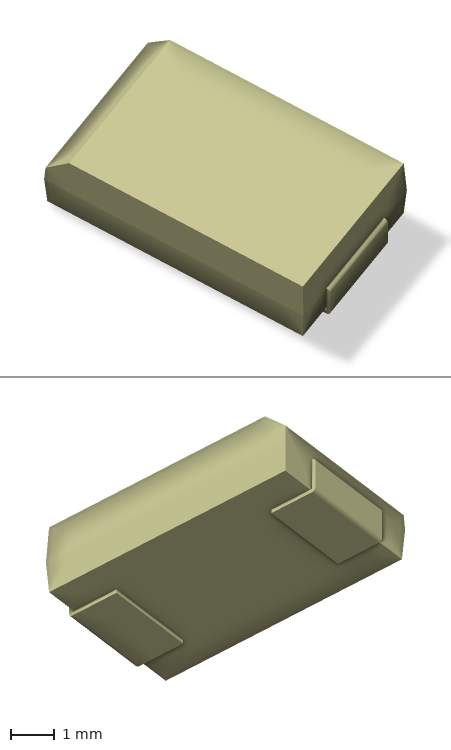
import cadquery as cq

overall_length = 7.3
body_width = 4.3
overall_height = 2.0

strip_thickness = 0.1
terminal_width = 2.4
left_foot_length = 1.31
right_foot_length = 1.41

parting_height = 0.96
taper_inset = 0.05
body_length = overall_length - 2 * strip_thickness
body_bottom = strip_thickness

bevel_run = 0.65
bevel_drop = 0.605


def tapered_half(end_height):
    """Half of the body, narrowing from the parting plane to its flat face."""
    return (
        cq.Workplane("XY")
        .workplane(offset=parting_height)
        .rect(body_length, body_width)
        .workplane(offset=end_height - parting_height)
        .rect(body_length - 2 * taper_inset, body_width - 2 * taper_inset)
        .loft(ruled=True)
    )


def bevel_cutter():
    """Wedge that removes the top corner of the -X end across the full width."""
    end_x = -body_length / 2
    bevel_height = overall_height - bevel_drop
    upper_half_height = overall_height - parting_height
    taper_at_bevel = taper_inset * (bevel_height - parting_height) / upper_half_height
    return (
        cq.Workplane("XZ")
        .moveTo(end_x + taper_at_bevel, bevel_height)
        .lineTo(end_x + bevel_run, overall_height)
        .lineTo(end_x, overall_height)
        .lineTo(end_x, bevel_height)
        .close()
        .extrude(body_width / 2, both=True)
    )


def make_body():
    lower_half = tapered_half(body_bottom)
    upper_half = tapered_half(overall_height).cut(bevel_cutter())
    return lower_half.union(upper_half)


def make_terminal(side, foot_length):
    """L-shaped strip with rounded outer corners; side is -1 for -X, +1 for +X."""
    outer_x = side * overall_length / 2
    inner_x = outer_x - side * strip_thickness
    foot_x = outer_x - side * foot_length
    radius = strip_thickness
    arc_offset = radius * (1 - 0.5**0.5)
    arc_x = outer_x - side * arc_offset
    return (
        cq.Workplane("XZ")
        .moveTo(foot_x, 0)
        .lineTo(inner_x, 0)
        .threePointArc((arc_x, arc_offset), (outer_x, radius))
        .lineTo(outer_x, parting_height - radius)
        .threePointArc((arc_x, parting_height - arc_offset), (inner_x, parting_height))
        .lineTo(inner_x, strip_thickness)
        .lineTo(foot_x, strip_thickness)
        .close()
        .extrude(terminal_width / 2, both=True)
    )


body = make_body()
terminals = [
    make_terminal(side, foot_length)
    for side, foot_length in ((-1, left_foot_length), (1, right_foot_length))
]

result = cq.Compound.makeCompound(
    [body.solids().val(), *(terminal.solids().val() for terminal in terminals)]
)